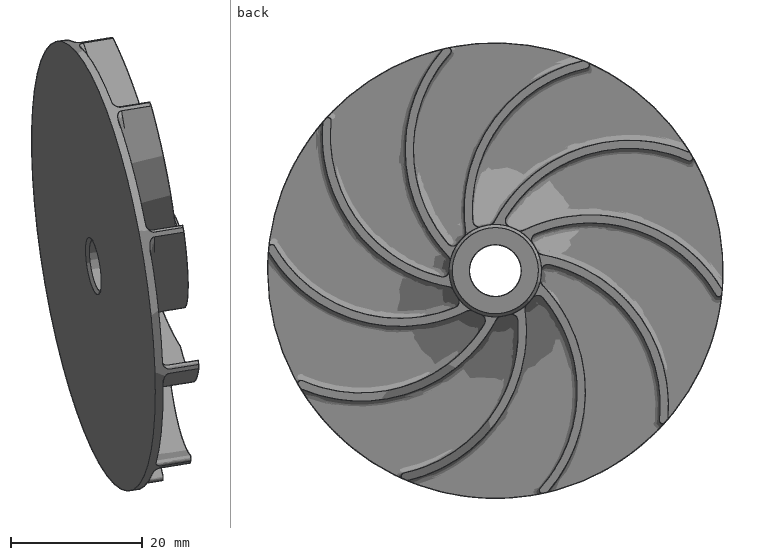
import cadquery as cq
import math

disc_diameter = 69.1
disc_thickness = 1.25
hub_diameter = 14.0
overall_depth = 13.0
bore_diameter = 7.8
edge_chamfer = 0.5
flare_foot_diameter = 31.4
flare_top_height = 4.6
flare_hub_fillet = 3.65
flare_foot_fillet = 20.05
seam_turn = -3.0

blade_count = 10
first_tip_angle = 4.8
blade_thickness = 1.25
blade_outer_radius = 23.2
blade_center_distance = 20.65
blade_root_radius = 5.5
tip_overrun = 1.4

tip_height = 6.9
crest_height = 9.75
crest_radius = 15.9
root_height = 9.0

tip_round = 0.5
blade_fillet = 1.0
rim_zone = 0.9

disc_allowance = 3.45
blade_allowance = 0.01
tolerance = 0.01

disc_radius = disc_diameter / 2
oversize_disc_radius = disc_radius + disc_allowance
blade_tip_radius = disc_radius + blade_allowance
hub_radius = hub_diameter / 2
bore_radius = bore_diameter / 2
flare_foot_radius = flare_foot_diameter / 2


def polar(radius, angle):
    return (radius * math.cos(angle), radius * math.sin(angle))


def angle_from_center_line(arc_radius, radius):
    """Angle at the part axis between a blade's arc centre and its arc's point at the given radius."""
    distance = blade_center_distance
    return math.acos((distance**2 + radius**2 - arc_radius**2) / (2 * distance * radius))


def circle_selector(radius, height):
    """Selects the full circular edge of the given radius and height about the Y axis."""
    reach = radius + tolerance
    low = (-reach, height - tolerance, -reach)
    high = (reach, height + tolerance, reach)
    return cq.selectors.BoxSelector(low, high, boundingbox=True)


def make_body():
    """Backplate and bored hub, joined by a shallow conical flare with rounded ends."""
    blank = (
        cq.Workplane("XY")
        .moveTo(bore_radius, edge_chamfer)
        .lineTo(bore_radius + edge_chamfer, 0)
        .lineTo(oversize_disc_radius, 0)
        .lineTo(oversize_disc_radius, disc_thickness)
        .lineTo(flare_foot_radius, disc_thickness)
        .lineTo(hub_radius, flare_top_height)
        .lineTo(hub_radius, overall_depth - edge_chamfer)
        .lineTo(hub_radius - edge_chamfer, overall_depth)
        .lineTo(bore_radius, overall_depth)
        .close()
        .revolve(360, (0, 0), (0, 1))
        .rotate((0, 0, 0), (0, 1, 0), seam_turn)
    )
    foot_edge = circle_selector(flare_foot_radius, disc_thickness)
    hub_edge = circle_selector(hub_radius, flare_top_height)
    return blank.edges(hub_edge).fillet(flare_hub_fillet).edges(foot_edge).fillet(flare_foot_fillet)


def make_blade_envelope():
    """Turned space that limits the blades: rising from the rim to a crest, then dipping to the hub."""
    return (
        cq.Workplane("XY")
        .lineTo(blade_tip_radius, 0)
        .lineTo(blade_tip_radius, tip_height)
        .lineTo(crest_radius, crest_height)
        .lineTo(hub_radius, root_height)
        .lineTo(0, root_height)
        .close()
        .revolve(360, (0, 0), (0, 1))
    )


def make_blade(envelope):
    """One backward-curved blade, with its acute tip edge rounded."""
    inner_radius = blade_outer_radius - blade_thickness
    center_angle = math.radians(first_tip_angle) + angle_from_center_line(blade_outer_radius, disc_radius)

    def arc_point(arc_radius, radius):
        return polar(radius, center_angle - angle_from_center_line(arc_radius, radius))

    tip_end = disc_radius + tip_overrun
    middle = (tip_end + blade_root_radius) / 2
    blank = (
        cq.Workplane("XZ")
        .moveTo(*arc_point(blade_outer_radius, tip_end))
        .threePointArc(
            arc_point(blade_outer_radius, middle),
            arc_point(blade_outer_radius, blade_root_radius),
        )
        .lineTo(*arc_point(inner_radius, blade_root_radius))
        .threePointArc(arc_point(inner_radius, middle), arc_point(inner_radius, tip_end))
        .close()
        .extrude(-crest_height)
    )
    tip_x, tip_z = arc_point(inner_radius, disc_radius)
    acute_edge = cq.selectors.NearestToPointSelector((tip_x, tip_height / 2, tip_z))
    return blank.intersect(envelope).edges("|Y").edges(acute_edge).fillet(tip_round)


def add_blades(body):
    """The body with its ring of equally spaced blades."""
    blade = make_blade(make_blade_envelope())
    for index in range(blade_count):
        turn = -index * 360 / blade_count
        body = body.union(blade.rotate((0, 0, 0), (0, 1, 0), turn))
    return body


def is_blade_foot(edge):
    """True where a blade meets the flat of the backplate: such edges reach close to the rim."""
    ends = (edge.startPoint(), edge.endPoint())
    reach = max(math.hypot(end.x, end.z) for end in ends)
    on_disc_face = abs(edge.Center().y - disc_thickness) < tolerance
    return on_disc_face and rim_zone * disc_radius < reach < blade_tip_radius + tolerance


def fillet_blade_bases(part):
    """Fillets round each blade's foot, running on along the tangent edges up the flare and the hub."""
    return part.edges().filter(is_blade_foot).fillet(blade_fillet)


def trim_rim(part):
    """Cuts the part back to the finished disc diameter."""
    rim = cq.Workplane("XZ").circle(disc_radius).extrude(-overall_depth)
    return part.intersect(rim)


result = trim_rim(fillet_blade_bases(add_blades(make_body())))